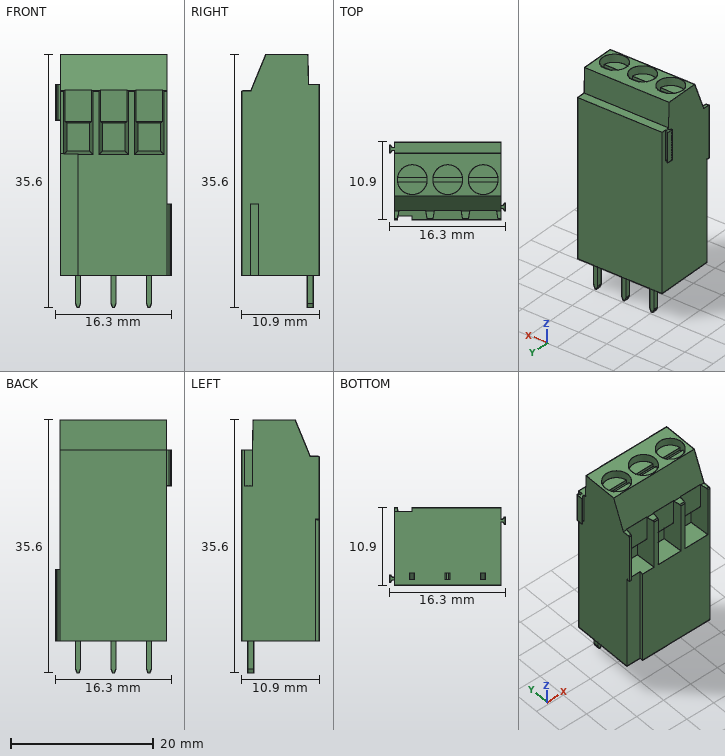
import cadquery as cq

width = 15.0
depth = 10.93
height = 31.1
pole_pitch = 5.0
pole_count = 3

shoulder_z = 26.9
shoulder_y = 9.45
top_back_y = 9.33
top_front_y = 3.38
brow_y = 1.28
brow_z = 26.02
edge_chamfer_depth = 0.2
edge_chamfer_drop = 0.1

mouth_width = 4.2
mouth_floor_z = 17.0
wall_taper = 0.17
back_wall_y = 1.3
window_depth = 3.03
window_top_z = 21.7
window_end_top_z = 21.45

step_width = 2.45
step_height = 17.15
step_depth = 0.55

screw_diameter = 4.2
screw_y = 5.65
well_depth = 1.35
screw_length = 2.15
slot_width = 0.65
slot_depth = 0.5

pin_width = 0.75
pin_thickness = 0.85
pin_length = 4.5
pin_y = 9.65
pin_offset = -0.05
tip_length = 0.6
tip_width = 0.25

neck_width = 0.43
head_width = 1.07
head_edge = 0.15
head_flare = 0.2
left_rail_reach = 0.68
left_rail_y = 9.97
left_rail_bottom = 21.85
right_rail_reach = 0.6
right_rail_y = 1.8
right_rail_height = 10.1

pole_x = [width / 2 + (i - (pole_count - 1) / 2) * pole_pitch for i in range(pole_count)]


def make_block():
    profile = [
        (0, 0),
        (depth, 0),
        (depth, shoulder_z),
        (shoulder_y, shoulder_z),
        (top_back_y, height),
        (top_front_y, height),
        (brow_y, brow_z),
        (edge_chamfer_depth, brow_z),
        (0, brow_z - edge_chamfer_drop),
    ]
    return cq.Workplane("YZ").polyline(profile).close().extrude(width)


def tapered_prism(x, near, far):
    """Loft between two rectangles facing Y, each given as (y, width, bottom, top)."""
    wires = []
    for y, span, bottom, top in (near, far):
        corners = [
            (x - span / 2, y, bottom),
            (x + span / 2, y, bottom),
            (x + span / 2, y, top),
            (x - span / 2, y, top),
        ]
        wires.append(cq.Wire.makePolygon([cq.Vector(*c) for c in corners], close=True))
    return cq.Workplane(obj=cq.Solid.makeLoft(wires, True))


def make_pocket(x):
    def width_at(y):
        return mouth_width - 2 * wall_taper * y

    def floor_at(y):
        return mouth_floor_z + wall_taper * y

    mouth = tapered_prism(
        x,
        (0, mouth_width, mouth_floor_z, height),
        (back_wall_y, width_at(back_wall_y), floor_at(back_wall_y), height),
    )
    window = tapered_prism(
        x,
        (back_wall_y, width_at(back_wall_y), floor_at(back_wall_y), window_top_z),
        (window_depth, width_at(window_depth), floor_at(window_depth), window_end_top_z),
    )
    return mouth.union(window)


def make_rail(side_x, direction, reach, y, bottom, top):
    """Dovetail-headed rail standing out of an end face; direction is -1 or +1 along X."""
    tip_x = side_x + direction * reach
    edge_x = tip_x - direction * head_edge
    neck_x = edge_x - direction * head_flare
    profile = [
        (side_x, y - neck_width / 2),
        (neck_x, y - neck_width / 2),
        (edge_x, y - head_width / 2),
        (tip_x, y - head_width / 2),
        (tip_x, y + head_width / 2),
        (edge_x, y + head_width / 2),
        (neck_x, y + neck_width / 2),
        (side_x, y + neck_width / 2),
    ]
    return cq.Workplane("XY", origin=(0, 0, bottom)).polyline(profile).close().extrude(top - bottom)


def make_housing():
    body = make_block()
    body = body.cut(cq.Workplane().box(step_width, step_depth, step_height, centered=False))
    for x in pole_x:
        body = body.cut(make_pocket(x))
        well = (
            cq.Workplane("XY", origin=(x, screw_y, height))
            .circle(screw_diameter / 2)
            .extrude(-(well_depth + screw_length))
        )
        body = body.cut(well)
    body = body.union(make_rail(0, -1, left_rail_reach, left_rail_y, left_rail_bottom, shoulder_z))
    return body.union(make_rail(width, 1, right_rail_reach, right_rail_y, 0, right_rail_height))


def make_screw(x):
    head = cq.Workplane("XY", origin=(x, screw_y, height - well_depth))
    screw = head.circle(screw_diameter / 2).extrude(-screw_length)
    slot = head.rect(screw_diameter, slot_width).extrude(-slot_depth)
    return screw.cut(slot)


def make_pin(x):
    profile = [
        (-pin_width / 2, 0),
        (-pin_width / 2, tip_length - pin_length),
        (-tip_width / 2, -pin_length),
        (tip_width / 2, -pin_length),
        (pin_width / 2, tip_length - pin_length),
        (pin_width / 2, 0),
    ]
    return (
        cq.Workplane("XZ", origin=(x, pin_y, 0))
        .polyline(profile)
        .close()
        .extrude(pin_thickness / 2, both=True)
    )


housing = make_housing()
screws = [make_screw(x) for x in pole_x]
pins = [make_pin(x + pin_offset) for x in pole_x]

bodies = [housing, *screws, *pins]
result = cq.Compound.makeCompound([body.val() for body in bodies])